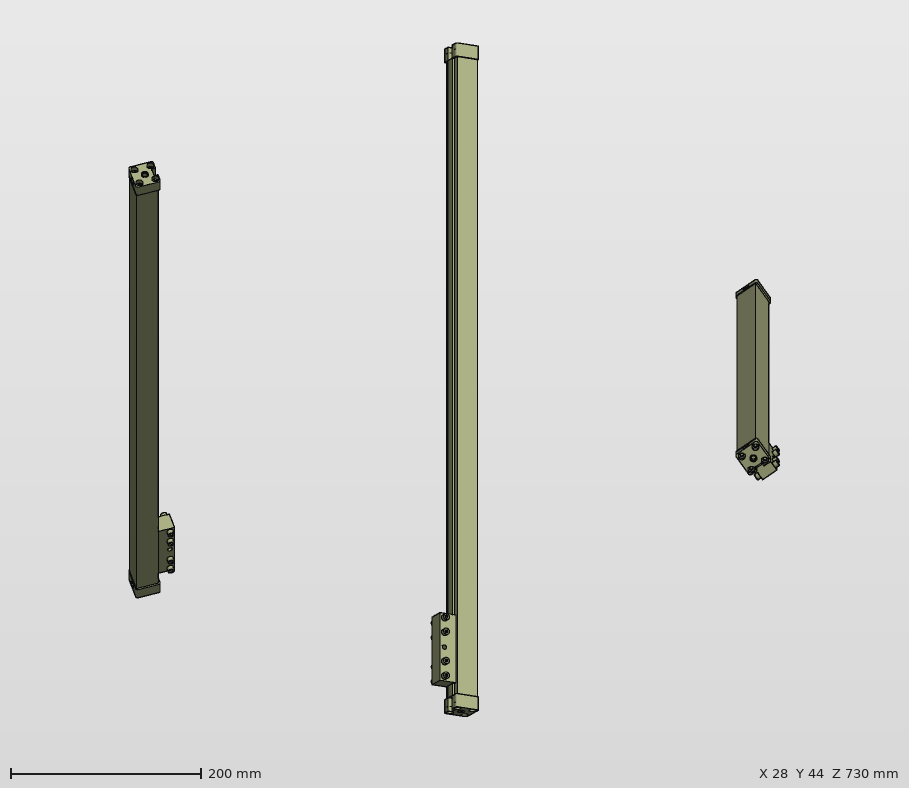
import cadquery as cq

length = 730.0
cap_width = 28.0
total_depth = 44.0
cap_half = cap_width / 2
cap_front = -cap_half
cap_back = 13.0

cap_height = 14.5
cap_corner_radius = 2.0
cap_notch_width = 9.0
cap_notch_depth = 4.5

screw_offset = 9.0
screw_head_diameter = 7.0
screw_head_depth = 6.0
screw_hole_diameter = 4.0
screw_hole_depth = 11.0

port_diameter = 7.0
port_recess_depth = 1.5
port_bore_diameter = 5.0
port_bore_depth = 7.0
front_port_inset = 6.5

tube_width = 24.0
tube_front_setback = 1.0
tube_front = cap_front + tube_front_setback
tube_back = 11.0
rail_width = 10.0

carriage_width = 18.0
carriage_length = 74.5
carriage_bottom = 28.0
carriage_back = cap_front + total_depth
carriage_middle = carriage_bottom + carriage_length / 2

bolt_inset = 5.0
bolt_line = carriage_back - bolt_inset
bolt_offsets = (-32.0, -16.0, 16.0, 32.0)
bolt_head_diameter = 7.0
bolt_head_height = cap_half - carriage_width / 2
bolt_socket_diameter = 3.2
bolt_socket_depth = 2.0
cross_hole_diameter = 5.0


def block(width, front, back, bottom, top):
    """Block centred on X between two depths and two heights."""
    size = (width, back - front, top - bottom)
    return cq.Workplane("XY").box(*size, centered=(True, False, False)).translate((0, front, bottom))


def cylinder(diameter, start, direction, depth):
    solid = cq.Solid.makeCylinder(diameter / 2, depth, cq.Vector(*start), cq.Vector(*direction))
    return cq.Workplane(solid)


def stepped_hole(start, direction, wide_diameter, wide_depth, narrow_diameter, narrow_depth):
    """Cutter for a wide recess with a deeper, narrower bore on the same axis."""
    wide = cylinder(wide_diameter, start, direction, wide_depth)
    return wide.union(cylinder(narrow_diameter, start, direction, narrow_depth))


def port(start, direction):
    return stepped_hole(
        start, direction, port_diameter, port_recess_depth, port_bore_diameter, port_bore_depth
    )


def screw_hole(start, direction):
    return stepped_hole(
        start, direction, screw_head_diameter, screw_head_depth, screw_hole_diameter, screw_hole_depth
    )


def make_end_cap(end, inward):
    """Cap whose outer face is at height `end`; `inward` is the Z sign toward the tube."""
    inner = end + inward * cap_height
    bottom = min(end, inner)
    top = bottom + cap_height
    cap = block(cap_width, cap_front, cap_back, bottom, top).edges("|Z").fillet(cap_corner_radius)
    cap = cap.cut(block(cap_notch_width, cap_back - cap_notch_depth, cap_back, bottom, top))
    for x in (-screw_offset, screw_offset):
        for y in (-screw_offset, screw_offset):
            cap = cap.cut(screw_hole((x, y, end), (0, 0, inward)))
    cap = cap.cut(port((0, 0, end), (0, 0, inward)))
    return cap.cut(port((0, cap_front, end + inward * front_port_inset), (0, 1, 0)))


def make_housing():
    tube_top = length - cap_height
    tube = block(tube_width, tube_front, tube_back, cap_height, tube_top)
    rail = block(rail_width, tube_back, cap_back, cap_height, tube_top)
    return tube.union(rail).union(make_end_cap(0, 1)).union(make_end_cap(length, -1))


def make_bolt_head(side, z):
    outer_face = (side * cap_half, bolt_line, z)
    head = cylinder(bolt_head_diameter, outer_face, (-side, 0, 0), bolt_head_height)
    return head.cut(cylinder(bolt_socket_diameter, outer_face, (-side, 0, 0), bolt_socket_depth))


def make_carriage():
    top = carriage_bottom + carriage_length
    carriage = block(carriage_width, tube_back, carriage_back, carriage_bottom, top)
    carriage = carriage.cut(block(rail_width, tube_back, cap_back, carriage_bottom, top))
    for side in (-1, 1):
        for offset in bolt_offsets:
            carriage = carriage.union(make_bolt_head(side, carriage_middle + offset))
    hole_start = (-carriage_width / 2, bolt_line, carriage_middle)
    return carriage.cut(cylinder(cross_hole_diameter, hole_start, (1, 0, 0), carriage_width))


housing = make_housing()
carriage = make_carriage()
result = cq.Compound.makeCompound([housing.val(), carriage.val()])